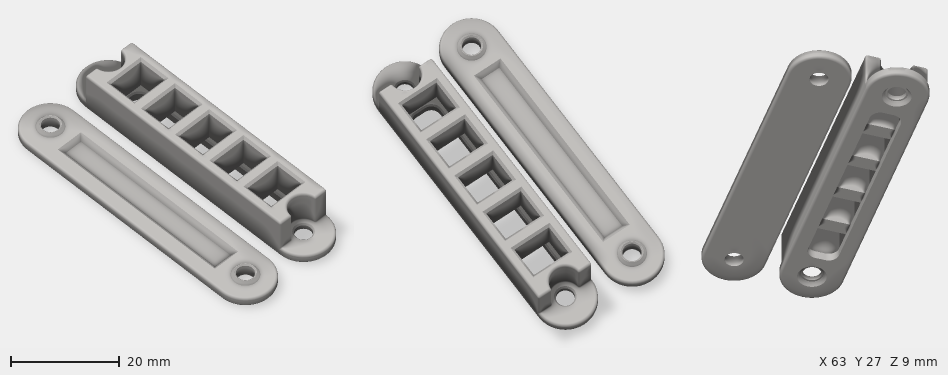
import cadquery as cq
import math

OVERALL_LENGTH = 63.0
OVERALL_DEPTH = 27.0
BODY_GAP = 3.0
BODY_WIDTH = (OVERALL_DEPTH - BODY_GAP) / 2
HOUSING_Y = (BODY_WIDTH + BODY_GAP) / 2
LID_Y = -HOUSING_Y

PLATE_THICKNESS = 2.0
EDGE_RADIUS = 0.5
RIM_CHAMFER = 0.3
HOLE_DIAMETER = 3.5
HOLE_SPACING = OVERALL_LENGTH - BODY_WIDTH
HOLE_CENTRES = [(-HOLE_SPACING / 2, 0), (HOLE_SPACING / 2, 0)]

HOUSING_HEIGHT = 9.0
NOTCH_RADIUS = 3.0
BLOCK_CORNER_RADIUS = 0.4
FOOT_RADIUS = 0.2

SELECT_MARGIN = 0.05

CELL_COUNT = 5
CELL_PITCH = 8.95
CELL_LENGTH = 6.25
CELL_WIDTH = 7.8
CELL_CHAMFER = 0.5

WINDOW_LENGTH = 41.0
WINDOW_WIDTH = 6.0
WINDOW_CORNER_RADIUS = 2.0

BOSS_BASE_DIAMETER = 5.5
BOSS_TOP_DIAMETER = 4.2
BOSS_HEIGHT = 0.75

POCKET_LENGTH = 41.1
POCKET_WIDTH = 6.0
POCKET_DEPTH = 1.0
POCKET_SLOPE = 45


def plane_at(z):
    """Horizontal workplane at height z."""
    return cq.Workplane("XY").workplane(offset=z)


def rounded_plate():
    """Plate with semicircular ends and rounded top and bottom rims."""
    plate = plane_at(0).slot2D(OVERALL_LENGTH, BODY_WIDTH).extrude(PLATE_THICKNESS)
    return plate.faces("<Z or >Z").edges().fillet(EDGE_RADIUS)


def hole_cutter(top):
    """Mounting holes from Z = 0 up to `top`, with chamfered upper rims."""
    holes = plane_at(0).pushPoints(HOLE_CENTRES).circle(HOLE_DIAMETER / 2).extrude(top)
    rims = (
        plane_at(top)
        .pushPoints(HOLE_CENTRES)
        .circle(HOLE_DIAMETER / 2 + RIM_CHAMFER)
        .extrude(-RIM_CHAMFER, taper=45)
    )
    return holes.union(rims)


def boss_cones(base):
    """Cones standing on height `base` around the hole centres."""
    slope = math.degrees(math.atan2((BOSS_BASE_DIAMETER - BOSS_TOP_DIAMETER) / 2, BOSS_HEIGHT))
    return (
        plane_at(base)
        .pushPoints(HOLE_CENTRES)
        .circle(BOSS_BASE_DIAMETER / 2)
        .extrude(BOSS_HEIGHT, taper=slope)
    )


def raised_block():
    """Block between the hole centres, notched around each hole, starting inside the plate."""
    base = PLATE_THICKNESS / 2
    height = HOUSING_HEIGHT - base
    block = plane_at(base).rect(HOLE_SPACING, BODY_WIDTH).extrude(height)
    block = block.edges("|Z").fillet(BLOCK_CORNER_RADIUS)
    notches = plane_at(base).pushPoints(HOLE_CENTRES).circle(NOTCH_RADIUS).extrude(height)
    block = block.cut(notches)
    notch_side = NOTCH_RADIUS + SELECT_MARGIN
    notch_corners = cq.selectors.BoxSelector(
        (-OVERALL_LENGTH, -notch_side, 0), (OVERALL_LENGTH, notch_side, HOUSING_HEIGHT)
    )
    block = block.edges("|Z").edges(notch_corners).fillet(BLOCK_CORNER_RADIUS)
    return block.faces(">Z").edges().fillet(EDGE_RADIUS)


def fillet_block_foot(body):
    """Concave fillet where the end faces and notches of the block meet the plate top."""
    end = HOLE_SPACING / 2 + SELECT_MARGIN
    side = BODY_WIDTH / 2 - EDGE_RADIUS
    foot = cq.selectors.BoxSelector(
        (-end, -side, PLATE_THICKNESS - SELECT_MARGIN), (end, side, PLATE_THICKNESS + SELECT_MARGIN)
    )
    return body.edges(foot).fillet(FOOT_RADIUS)


def cut_cells(body):
    """Row of rectangular wells from the block top down to the plate top, with chamfered mouths."""
    centres = [((i - (CELL_COUNT - 1) / 2) * CELL_PITCH, 0) for i in range(CELL_COUNT)]
    wells = (
        plane_at(PLATE_THICKNESS)
        .pushPoints(centres)
        .rect(CELL_LENGTH, CELL_WIDTH)
        .extrude(HOUSING_HEIGHT - PLATE_THICKNESS)
    )
    row_end = centres[-1][0] + CELL_LENGTH / 2 + SELECT_MARGIN
    row_side = CELL_WIDTH / 2 + SELECT_MARGIN
    mouths = cq.selectors.BoxSelector(
        (-row_end, -row_side, HOUSING_HEIGHT - SELECT_MARGIN),
        (row_end, row_side, HOUSING_HEIGHT + SELECT_MARGIN),
    )
    return body.cut(wells).edges(mouths).chamfer(CELL_CHAMFER)


def rounded_rectangle(length, width, corner_radius):
    """Sketch of a rectangle with rounded corners."""
    return cq.Sketch().rect(length, width).vertices().fillet(corner_radius)


def window_cutter():
    """Round-cornered window through the plate, with a chamfered upper rim."""
    opening = rounded_rectangle(WINDOW_LENGTH, WINDOW_WIDTH, WINDOW_CORNER_RADIUS)
    rim = rounded_rectangle(
        WINDOW_LENGTH + 2 * RIM_CHAMFER, WINDOW_WIDTH + 2 * RIM_CHAMFER, WINDOW_CORNER_RADIUS + RIM_CHAMFER
    )
    window = plane_at(0).placeSketch(opening).extrude(PLATE_THICKNESS)
    return window.union(plane_at(PLATE_THICKNESS).placeSketch(rim).extrude(-RIM_CHAMFER, taper=45))


def make_housing():
    """Plate with the celled block on top and recesses underneath for the lid bosses."""
    housing = fillet_block_foot(rounded_plate().union(raised_block()))
    housing = cut_cells(housing).cut(window_cutter())
    housing = housing.cut(hole_cutter(PLATE_THICKNESS)).cut(boss_cones(0))
    return housing.translate((0, HOUSING_Y, 0))


def make_lid():
    """Plate with a boss around each hole and a shallow tray between them."""
    lid = rounded_plate().union(boss_cones(PLATE_THICKNESS))
    lid = lid.cut(hole_cutter(PLATE_THICKNESS + BOSS_HEIGHT))
    pocket = (
        plane_at(PLATE_THICKNESS)
        .rect(POCKET_LENGTH, POCKET_WIDTH)
        .extrude(-POCKET_DEPTH, taper=POCKET_SLOPE)
    )
    return lid.cut(pocket).translate((0, LID_Y, 0))


housing = make_housing()
lid = make_lid()
result = cq.Compound.makeCompound([housing.val(), lid.val()])